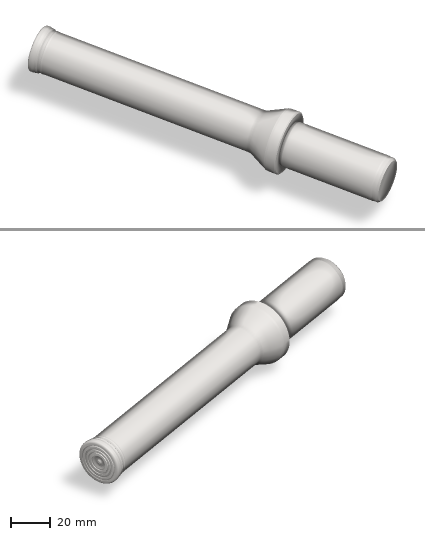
import cadquery as cq
import math

LENGTH = 198.0
HEAD_RADIUS = 25.0 / 2
NECK_RADIUS = 23.0 / 2
SHANK_RADIUS = 24.5 / 2
FLANGE_RADIUS = 34.0 / 2

HEAD_EDGE_FILLET = 1.2
HEAD_LAND_END = 2.5
HEAD_TAPER_END = 3.8
HEAD_REAR_RADIUS = 12.0
HEAD_END = 6.0

JOINT_RADIUS = 11.5
RELIEF_HALF_WIDTH = 0.5
RELIEF_BEVEL = 0.5
COLLAR_RADIUS = 11.7
COLLAR_TAPER_END = 8.0

RING_GROOVES = [(5.7, 6.5), (7.5, 8.5), (9.7, 10.3)]
GROOVE_DEPTH = 0.5
DISH_RIM_RADIUS = 4.4
DISH_LEDGE_RADIUS = 3.8
DISH_FLOOR_RADIUS = 2.5
DISH_LEDGE_DEPTH = 0.5
DISH_FLOOR_DEPTH = 1.2
PIP_BASE_RADIUS = 1.5
PIP_TOP_RADIUS = 0.8
PIP_HEIGHT = 0.5

FILLET_START = 123.8
FILLET_TANGENT = 1.2
CONE_END = 136.0
CONE_END_RADIUS = 16.8
FLANGE_LAND_START = 137.2
FLANGE_END = 142.4
FLANGE_CHAMFER = 0.5

UNDERCUT_RADIUS = 11.9
UNDERCUT_END = 143.0
UNDERCUT_TAPER_END = 144.0
STEP_START = 194.0
STEP_END = 194.8
STEP_RADIUS = 12.0
END_CHAMFER_START = 196.8
END_RADIUS = 11.0


def revolve_about_x(profile):
    """Revolve a closed profile, drawn as (x, radius), around the X axis."""
    return profile.close().revolve(360, (0, 0, 0), (1, 0, 0))


def ring_groove(inner_radius, outer_radius):
    """Cutter for one circular groove in the cutting face."""
    return cq.Workplane("YZ").circle(outer_radius).circle(inner_radius).extrude(GROOVE_DEPTH)


def central_dish():
    """Cutter for the conical central recess, leaving a small pip in its middle."""
    pip_top = DISH_FLOOR_DEPTH - PIP_HEIGHT
    return revolve_about_x(cq.Workplane("XY").polyline([
        (0, 0),
        (0, DISH_RIM_RADIUS),
        (DISH_LEDGE_DEPTH, DISH_RIM_RADIUS),
        (DISH_LEDGE_DEPTH, DISH_LEDGE_RADIUS),
        (DISH_FLOOR_DEPTH, DISH_FLOOR_RADIUS),
        (DISH_FLOOR_DEPTH, PIP_BASE_RADIUS),
        (pip_top, PIP_TOP_RADIUS),
        (pip_top, 0),
    ]))


def make_cutting_head():
    relief_start = HEAD_END - RELIEF_HALF_WIDTH
    fillet_centre_radius = HEAD_RADIUS - HEAD_EDGE_FILLET
    fillet_offset = HEAD_EDGE_FILLET * math.sqrt(0.5)
    profile = cq.Workplane("XY").lineTo(0, fillet_centre_radius)
    profile = profile.threePointArc(
        (HEAD_EDGE_FILLET - fillet_offset, fillet_centre_radius + fillet_offset),
        (HEAD_EDGE_FILLET, HEAD_RADIUS),
    )
    for point in [
        (HEAD_LAND_END, HEAD_RADIUS),
        (HEAD_TAPER_END, HEAD_REAR_RADIUS),
        (relief_start - RELIEF_BEVEL, HEAD_REAR_RADIUS),
        (relief_start, JOINT_RADIUS),
        (HEAD_END, JOINT_RADIUS),
        (HEAD_END, 0),
    ]:
        profile = profile.lineTo(*point)
    head = revolve_about_x(profile)
    for inner_radius, outer_radius in RING_GROOVES:
        head = head.cut(ring_groove(inner_radius, outer_radius))
    return head.cut(central_dish())


def make_holder():
    cone_start = FILLET_START + FILLET_TANGENT
    cone_angle = math.atan2(CONE_END_RADIUS - NECK_RADIUS, CONE_END - cone_start)
    fillet_end = (
        cone_start + FILLET_TANGENT * math.cos(cone_angle),
        NECK_RADIUS + FILLET_TANGENT * math.sin(cone_angle),
    )
    relief_end = HEAD_END + RELIEF_HALF_WIDTH

    profile = cq.Workplane("XY").polyline([
        (HEAD_END, 0),
        (HEAD_END, JOINT_RADIUS),
        (relief_end, JOINT_RADIUS),
        (relief_end + RELIEF_BEVEL, COLLAR_RADIUS),
        (COLLAR_TAPER_END, NECK_RADIUS),
        (FILLET_START, NECK_RADIUS),
    ])
    profile = profile.tangentArcPoint(fillet_end, relative=False)
    for point in [
        (CONE_END, CONE_END_RADIUS),
        (FLANGE_LAND_START, FLANGE_RADIUS),
        (FLANGE_END - FLANGE_CHAMFER, FLANGE_RADIUS),
        (FLANGE_END, FLANGE_RADIUS - FLANGE_CHAMFER),
        (FLANGE_END, UNDERCUT_RADIUS),
        (UNDERCUT_END, UNDERCUT_RADIUS),
        (UNDERCUT_TAPER_END, SHANK_RADIUS),
        (STEP_START, SHANK_RADIUS),
        (STEP_END, STEP_RADIUS),
        (END_CHAMFER_START, STEP_RADIUS),
        (LENGTH, END_RADIUS),
        (LENGTH, 0),
    ]:
        profile = profile.lineTo(*point)
    return revolve_about_x(profile)


cutting_head = make_cutting_head()
holder = make_holder()
result = cq.Compound.makeCompound([cutting_head.val(), holder.val()])